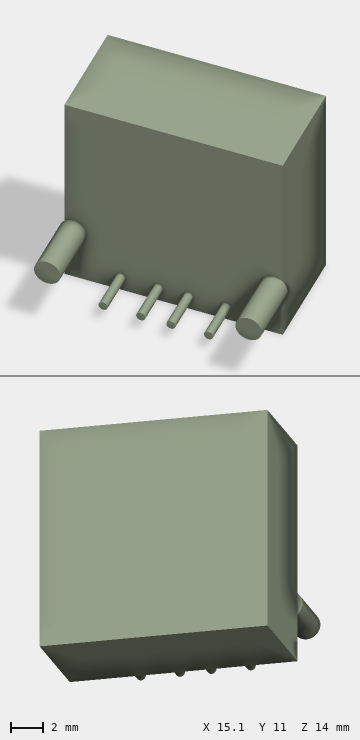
import cadquery as cq

body_width = 14.5
body_depth = 6.9
body_height = 14.0

peg_diameter = 1.75
peg_length = 4.1
peg_spacing = 13.37
peg_height = 3.725

pin_diameter = 0.6
pin_length = 2.84
inner_pin_spacing = 2.0
outer_pin_spacing = 7.0
pin_height = 1.015


def make_body():
    """Housing with its front face on Y = 0 and its base on Z = 0."""
    return cq.Workplane("XY").box(
        body_width, body_depth, body_height, centered=(True, False, False)
    )


def make_front_pair(spacing, height, diameter, length):
    """Two round posts, mirrored about X = 0, projecting toward -Y."""
    centers = [(side * spacing / 2, height) for side in (-1, 1)]
    return cq.Workplane("XZ").pushPoints(centers).circle(diameter / 2).extrude(length)


result = make_body()
result = result.union(make_front_pair(peg_spacing, peg_height, peg_diameter, peg_length))
for pin_spacing in (inner_pin_spacing, outer_pin_spacing):
    result = result.union(make_front_pair(pin_spacing, pin_height, pin_diameter, pin_length))